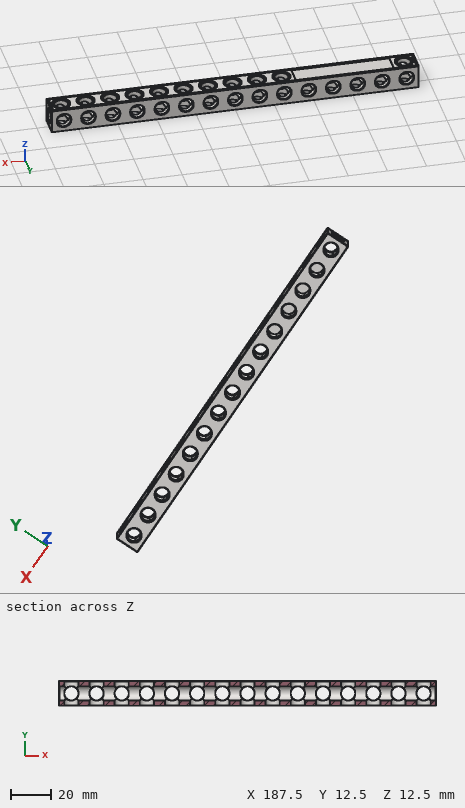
import cadquery as cq
length = 187.5
hole_count = 15
hole_diameter = 7.0
edge_chamfer = 0.3
hole_chamfer = 0.4
lip_inset = 1.1
rim_diameter = 9.2
recess_depth = 0.2
label_depth = 0.6
label_cells = range(1, 5)

pitch = length / hole_count
half = pitch / 2
hole_radius = hole_diameter / 2
recess_width = pitch - 2 * lip_inset


def cell_point(index):
    """Centre of one square cell of the beam, as a point on its long axis."""
    return ((index + 0.5) * pitch - length / 2, 0)


all_cells = [cell_point(index) for index in range(hole_count)]
closed_cells = [cell_point(index) for index in label_cells]
open_cells = [cell_point(index) for index in range(hole_count) if index not in label_cells]


def hole_cutter(plane, points, low, high):
    """Straight holes from low to high along the normal of the plane."""
    return (
        cq.Workplane(plane)
        .workplane(offset=low)
        .pushPoints(points)
        .circle(hole_radius)
        .extrude(high - low)
    )


def mouth_cutter(plane, points, face_offset):
    """Cones that chamfer the hole mouths on the outer face at the given offset."""
    inward = -hole_chamfer if face_offset > 0 else hole_chamfer
    return (
        cq.Workplane(plane)
        .workplane(offset=face_offset)
        .pushPoints(points)
        .circle(hole_radius + hole_chamfer)
        .extrude(inward, taper=45)
    )


def cut_through_holes(body, plane, points, reach):
    """Holes from -reach to +reach along the normal of the plane, chamfered at both mouths."""
    body = body.cut(hole_cutter(plane, points, -reach, reach))
    for face_offset in (-reach, reach):
        body = body.cut(mouth_cutter(plane, points, face_offset))
    return body


def cut_top_recess(body):
    """Shallow recess in the top face, leaving a border lip and a rim around each hole."""
    floor = cq.Workplane("XY", origin=(0, 0, half - recess_depth))
    recess = floor.rect(length - 2 * lip_inset, recess_width).extrude(recess_depth)
    rims = floor.pushPoints(open_cells).circle(rim_diameter / 2).extrude(recess_depth)
    return body.cut(recess.cut(rims))


def cut_label_pocket(body):
    """Deeper pocket across the recess over the label cells."""
    middle = (closed_cells[0][0] + closed_cells[-1][0]) / 2
    pocket = (
        cq.Workplane("XY", origin=(middle, 0, half - label_depth))
        .rect(len(closed_cells) * pitch, recess_width)
        .extrude(label_depth)
    )
    return body.cut(pocket)


def cut_blind_holes(body):
    """Holes from below under the label, ending level with the top of the lengthwise hole."""
    body = body.cut(hole_cutter("XY", closed_cells, -half, hole_radius))
    return body.cut(mouth_cutter("XY", closed_cells, -half))


beam = cq.Workplane("XY").box(length, pitch, pitch).edges().chamfer(edge_chamfer)

beam = cut_top_recess(beam)
beam = cut_label_pocket(beam)
beam = cut_through_holes(beam, "XZ", all_cells, half)
beam = cut_through_holes(beam, "XY", open_cells, half)
beam = cut_through_holes(beam, "YZ", [(0, 0)], length / 2)
beam = cut_blind_holes(beam)

result = beam.solids()